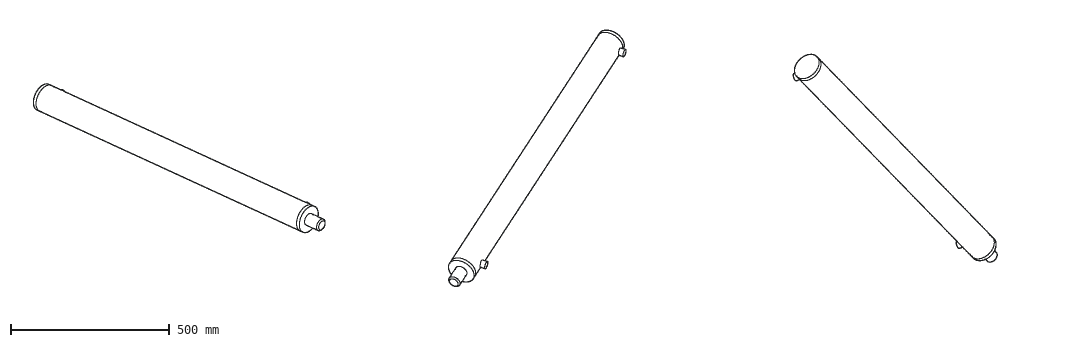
import cadquery as cq

TOTAL_LENGTH = 1180.0

BODY_DIAMETER = 90.0
BODY_LENGTH = 1125.0
CAP_THICKNESS = 12.0
BARREL_LENGTH = BODY_LENGTH - 2 * CAP_THICKNESS
HEAD_CAP_START = BODY_LENGTH - CAP_THICKNESS

ROD_DIAMETER = 40.0
ROD_LENGTH = TOTAL_LENGTH - BODY_LENGTH
ROD_CHAMFER = 5.0

PORT_DIAMETER = 25.0
PORT_HEIGHT = 15.0
PORT_TOP = BODY_DIAMETER / 2 + PORT_HEIGHT
PORT_POSITIONS = (32.0, 1067.0)


def make_cylinder(start, length, diameter):
    """Cylinder along +X whose first face lies at X = start."""
    return cq.Workplane("YZ").workplane(offset=start).circle(diameter / 2).extrude(length)


def make_barrel():
    return make_cylinder(CAP_THICKNESS, BARREL_LENGTH, BODY_DIAMETER)


def make_cap(start):
    return make_cylinder(start, CAP_THICKNESS, BODY_DIAMETER)


def make_rod():
    rod = make_cylinder(BODY_LENGTH, ROD_LENGTH, ROD_DIAMETER)
    return rod.faces(">X").chamfer(ROD_CHAMFER)


def make_port(position, barrel):
    """Round boss along +Y, with its foot shaped to sit on the barrel."""
    post = (
        cq.Workplane("XZ", origin=(position, 0, 0))
        .circle(PORT_DIAMETER / 2)
        .extrude(-PORT_TOP)
    )
    return post.cut(barrel)


barrel = make_barrel()
end_caps = [make_cap(start) for start in (0, HEAD_CAP_START)]
rod = make_rod()
ports = [make_port(position, barrel) for position in PORT_POSITIONS]

result = cq.Compound.makeCompound([
    barrel.val(),
    *[cap.val() for cap in end_caps],
    rod.val(),
    *[port.val() for port in ports],
])